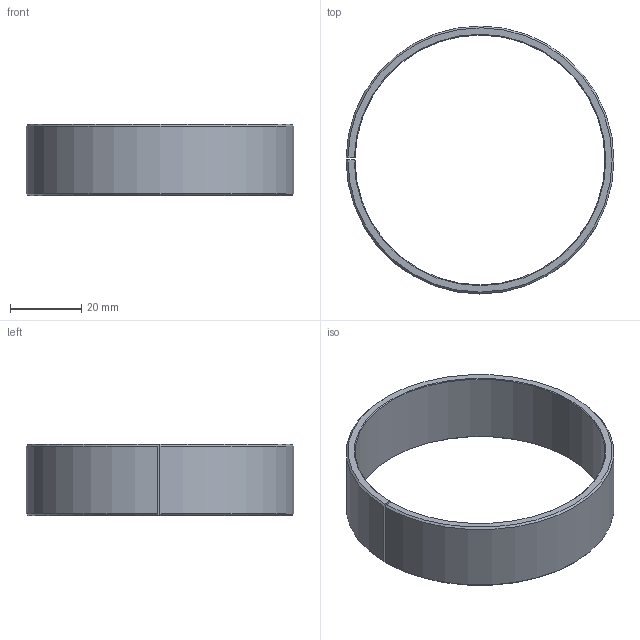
import cadquery as cq
import math

outer_diameter = 75.0
wall_thickness = 2.5
height = 20.0
outer_chamfer = 0.5
inner_chamfer = 0.2
split_angle = 1.0

outer_radius = outer_diameter / 2
inner_radius = outer_radius - wall_thickness


def chamfered_band():
    """Revolve the wall section, chamfered at all four corners, about Z."""
    section = (
        cq.Workplane("XZ")
        .moveTo(inner_radius + inner_chamfer, 0)
        .lineTo(outer_radius - outer_chamfer, 0)
        .lineTo(outer_radius, outer_chamfer)
        .lineTo(outer_radius, height - outer_chamfer)
        .lineTo(outer_radius - outer_chamfer, height)
        .lineTo(inner_radius + inner_chamfer, height)
        .lineTo(inner_radius, height - inner_chamfer)
        .lineTo(inner_radius, inner_chamfer)
        .close()
    )
    return section.revolve(360, (0, 0, 0), (0, 1, 0))


def split_wedge():
    """Full-height wedge from the axis out past the band, leaving radial end faces."""
    reach = outer_diameter
    opening = reach * math.tan(math.radians(split_angle))
    return (
        cq.Workplane("XY")
        .polyline([(0, 0), (-reach, 0), (-reach, opening)])
        .close()
        .extrude(height)
    )


result = chamfered_band().cut(split_wedge())